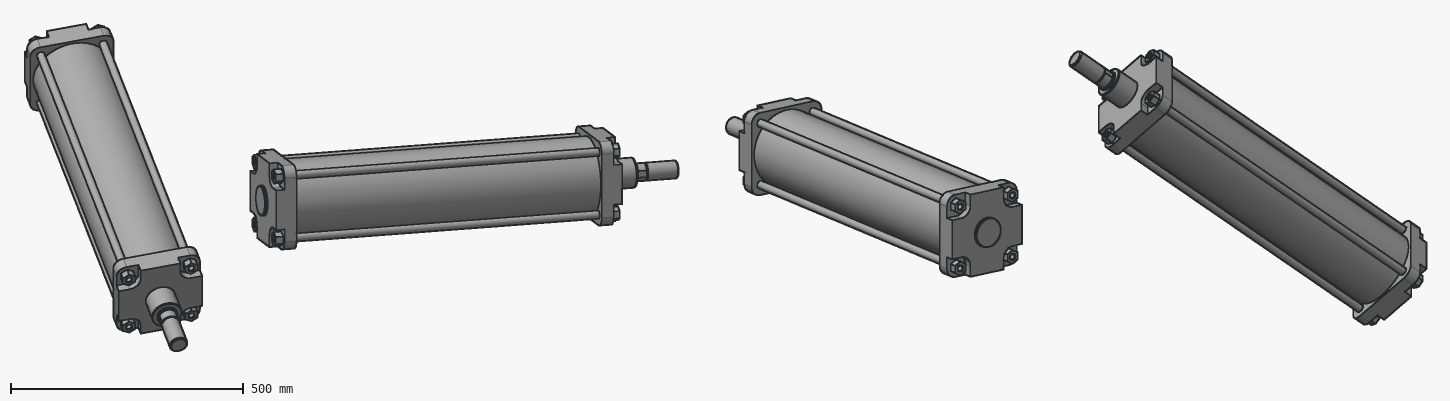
import cadquery as cq
import math

OVERALL_LENGTH = 938.0

CAP_SIDE = 186.0
CAP_CORNER_RADIUS = 22.5
CAP_THICKNESS = 46.0
REAR_CAP_FACE_X = 7.0
FRONT_CAP_FACE_X = 786.0
POCKET_SIDE = 49.0
POCKET_RADIUS = 24.0
POCKET_DEPTH = 19.0

BOSS_DIAMETER = 66.0
FRONT_BOSS_LENGTH = 54.0
BOSS_CHAMFER_LENGTH = 3.0
BOSS_CHAMFER_WIDTH = 1.0

BARREL_DIAMETER = 173.0

TIE_ROD_SPACING = 139.0
TIE_ROD_DIAMETER = 18.0
NUT_ACROSS_FLATS = 27.0
NUT_HEIGHT = 17.0
NUT_RECESS_DIAMETER = 12.0
NUT_RECESS_MOUTH_DIAMETER = 15.0
NUT_RECESS_DEPTH = NUT_HEIGHT

PISTON_ROD_DIAMETER = 45.0
PISTON_ROD_SHOULDER_X = 845.0
NECK_LENGTH = 21.0
WRENCH_FLAT_WIDTH = 37.0
THREAD_DIAMETER = 39.0
NECK_DIAMETER = THREAD_DIAMETER
THREAD_CHAMFER = 3.0

BARREL_START_X = REAR_CAP_FACE_X + CAP_THICKNESS
BARREL_END_X = FRONT_CAP_FACE_X - CAP_THICKNESS
REAR_POCKET_FLOOR_X = REAR_CAP_FACE_X + POCKET_DEPTH
FRONT_POCKET_FLOOR_X = FRONT_CAP_FACE_X - POCKET_DEPTH
NECK_END_X = PISTON_ROD_SHOULDER_X + NECK_LENGTH

CORNER_SIGNS = [(-1, -1), (-1, 1), (1, -1), (1, 1)]
TIE_ROD_CENTRES = [(sy * TIE_ROD_SPACING / 2, sz * TIE_ROD_SPACING / 2) for sy, sz in CORNER_SIGNS]


def section_at(x):
    """Workplane across the axis at x: local axes are Y and Z, extrusion runs along +X."""
    return cq.Workplane("YZ", origin=(x, 0, 0))


def cylinder(start_x, end_x, diameter):
    return section_at(start_x).circle(diameter / 2).extrude(end_x - start_x)


def revolve_about_axis(profile):
    """Solid of revolution about X from a half profile of (x, radius) points."""
    return cq.Workplane("XY").polyline(profile).close().revolve(360, (0, 0, 0), (1, 0, 0))


def corner_pockets(start_x):
    """Four square pockets, one per cap corner, each with a rounded inner corner."""
    blocks = section_at(start_x)
    blocks = blocks.pushPoints([(sy * CAP_SIDE / 2, sz * CAP_SIDE / 2) for sy, sz in CORNER_SIGNS])
    blocks = blocks.rect(2 * POCKET_SIDE, 2 * POCKET_SIDE).extrude(POCKET_DEPTH)
    return blocks.edges("|X").fillet(POCKET_RADIUS)


def cap_block(start_x, pocket_start_x):
    """Square cap with rounded corners, nut pockets and clearance for the tie rods."""
    block = section_at(start_x).rect(CAP_SIDE, CAP_SIDE).extrude(CAP_THICKNESS)
    block = block.edges("|X").fillet(CAP_CORNER_RADIUS)
    block = block.cut(corner_pockets(pocket_start_x))
    holes = section_at(start_x).pushPoints(TIE_ROD_CENTRES).circle(TIE_ROD_DIAMETER / 2)
    return block.cut(holes.extrude(CAP_THICKNESS))


def boss(root_x, end_x):
    """Round boss from root_x to end_x, narrowing slightly in a steep chamfer at its outer end."""
    outward = math.copysign(1, end_x - root_x)
    chamfer_start_x = end_x - outward * BOSS_CHAMFER_LENGTH
    radius = BOSS_DIAMETER / 2
    profile = [
        (root_x, 0),
        (root_x, radius),
        (chamfer_start_x, radius),
        (end_x, radius - BOSS_CHAMFER_WIDTH),
        (end_x, 0),
    ]
    return revolve_about_axis(profile)


def make_rear_cap():
    cap = cap_block(REAR_CAP_FACE_X, REAR_CAP_FACE_X)
    return cap.union(boss(BARREL_START_X, 0))


def make_front_cap():
    cap = cap_block(BARREL_END_X, FRONT_POCKET_FLOOR_X)
    boss_end_x = FRONT_CAP_FACE_X + FRONT_BOSS_LENGTH
    cap = cap.union(boss(BARREL_END_X, boss_end_x))
    return cap.cut(cylinder(BARREL_END_X, boss_end_x, PISTON_ROD_DIAMETER))


def make_barrel():
    return cylinder(BARREL_START_X, BARREL_END_X, BARREL_DIAMETER)


def hex_nut(start_x):
    """Hexagon with corners pointing up and down."""
    across_corners = NUT_ACROSS_FLATS / math.cos(math.pi / 6)
    hexagon = section_at(start_x).polygon(6, across_corners).extrude(NUT_HEIGHT)
    return hexagon.rotate((0, 0, 0), (1, 0, 0), 90)


def nut_recess():
    """Blind hole with a countersunk mouth, opening towards -X from X = 0."""
    mouth_depth = (NUT_RECESS_MOUTH_DIAMETER - NUT_RECESS_DIAMETER) / 2
    profile = [
        (0, 0),
        (0, NUT_RECESS_MOUTH_DIAMETER / 2),
        (mouth_depth, NUT_RECESS_DIAMETER / 2),
        (NUT_RECESS_DEPTH, NUT_RECESS_DIAMETER / 2),
        (NUT_RECESS_DEPTH, 0),
    ]
    return revolve_about_axis(profile)


def make_tie_rod(y, z):
    """Rod with a hexagonal nut at each end, seated on the pocket floors."""
    rear_end_x = REAR_POCKET_FLOOR_X - NUT_HEIGHT
    front_end_x = FRONT_POCKET_FLOOR_X + NUT_HEIGHT
    rod = cylinder(rear_end_x, front_end_x, TIE_ROD_DIAMETER)
    rod = rod.union(hex_nut(rear_end_x)).union(hex_nut(FRONT_POCKET_FLOOR_X))
    rear_recess = nut_recess()
    front_recess = rear_recess.mirror("YZ")
    rod = rod.cut(rear_recess.translate((rear_end_x, 0, 0)))
    rod = rod.cut(front_recess.translate((front_end_x, 0, 0)))
    return rod.translate((0, y, z))


def make_piston_rod():
    """Rod, neck with two wrench flats facing +Y and -Y, and chamfered threaded end."""
    rod = cylinder(BARREL_END_X, PISTON_ROD_SHOULDER_X, PISTON_ROD_DIAMETER)
    neck = cylinder(PISTON_ROD_SHOULDER_X, NECK_END_X, NECK_DIAMETER)
    flats = section_at(PISTON_ROD_SHOULDER_X).rect(WRENCH_FLAT_WIDTH, NECK_DIAMETER).extrude(NECK_LENGTH)
    thread = cylinder(NECK_END_X, OVERALL_LENGTH, THREAD_DIAMETER).faces("<X or >X").chamfer(THREAD_CHAMFER)
    return rod.union(neck.intersect(flats)).union(thread)


rear_cap = make_rear_cap()
front_cap = make_front_cap()
barrel = make_barrel()
piston_rod = make_piston_rod()
tie_rods = [make_tie_rod(y, z) for y, z in TIE_ROD_CENTRES]

result = cq.Compound.makeCompound(
    [
        rear_cap.val(),
        front_cap.val(),
        barrel.val(),
        piston_rod.val(),
        *[tie_rod.val() for tie_rod in tie_rods],
    ]
)